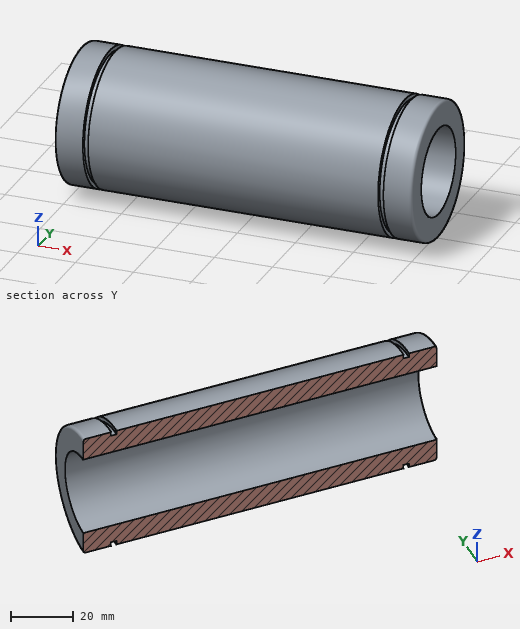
import cadquery as cq

length = 123.0
outer_diameter = 47.0
bore_diameter = 30.0
end_round = 1.0

groove_diameter = 44.0
groove_width = 1.8
collar_length = 9.7


def cylinder_along_x(start, span, diameter):
    """Solid cylinder on the X axis, beginning at x = start."""
    return cq.Workplane("YZ", origin=(start, 0, 0)).circle(diameter / 2).extrude(span)


def groove_ring(start):
    """Ring of material to remove for one groove."""
    outside = cylinder_along_x(start, groove_width, outer_diameter + 1.2)
    return outside.cut(cylinder_along_x(start, groove_width, groove_diameter))


body = cylinder_along_x(-length / 2, length, outer_diameter).faces("<X or >X").edges().fillet(end_round)

left_groove_start = -length / 2 + collar_length
right_groove_start = length / 2 - collar_length - groove_width
for groove_start in (left_groove_start, right_groove_start):
    body = body.cut(groove_ring(groove_start))

result = body.cut(cylinder_along_x(-length / 2, length, bore_diameter))